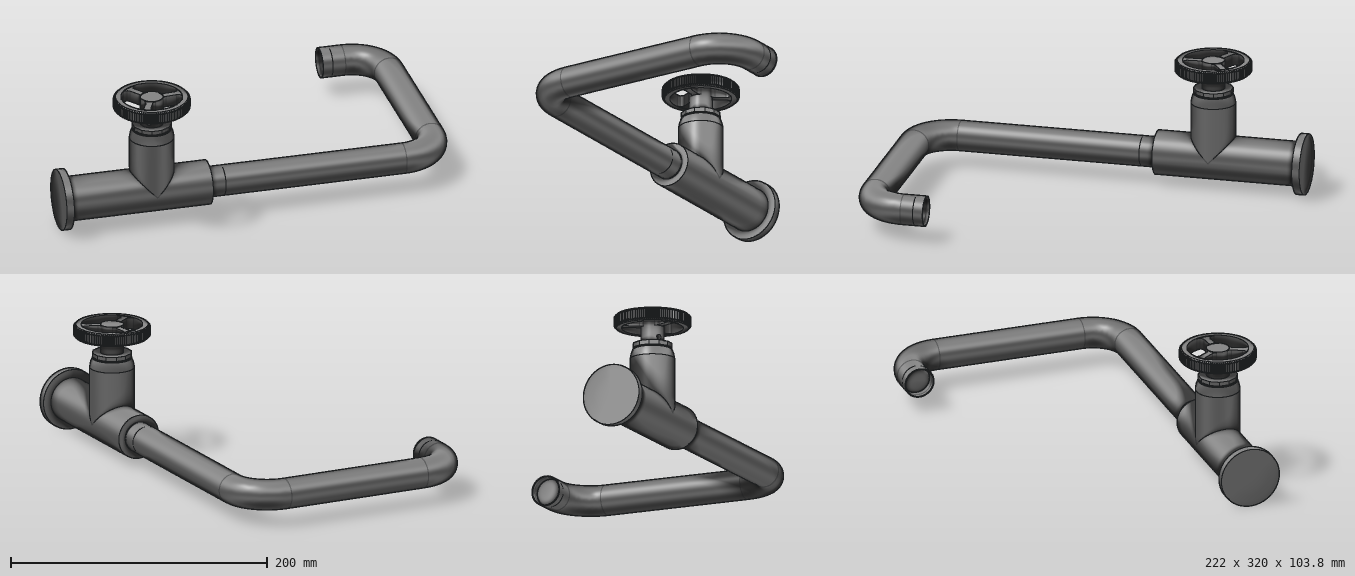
import cadquery as cq
import math


BODY_DIA = 35.0
FLANGE_DIA = 48.0
FLANGE_THICK = 6.0
FLANGE_Y = -75.0
SLEEVE_END_Y = 45.0
BRANCH_TOP_Z = 45.0

TUBE_DIA = 24.0
TUBE_WALL = 0.75
TUBE_BORE = TUBE_DIA - 2 * TUBE_WALL
BEND_RADIUS = 30.0
SPOUT_REACH = 180.0
SPOUT_OUTER_Y = 245.0
SPOUT_AXIS_Y = SPOUT_OUTER_Y - TUBE_DIA / 2
OUTLET_Y = 185.0
OUTLET_DEPTH = 8.0
SPIGOT_LENGTH = 12.0

AERATOR_WALL = 0.5
AERATOR_TAPER_LENGTH = 2.5

DOME_BASE_DIA = 35.0
DOME_TOP_DIA = 30.8
DOME_TOP_Z = 52.5
DOME_BULGE = 0.4
NECK_DIA = 29.0
COLLAR_SIDES = 12
COLLAR_ACROSS_FLATS = 30.0
COLLAR_THICK = 3.5
BONNET_TOP_Z = 57.0

WHEEL_DIA = 60.0
WHEEL_THICK = 10.0
WHEEL_TOP_Z = 79.8
WHEEL_BOTTOM_Z = WHEEL_TOP_Z - WHEEL_THICK
RIM_INNER_DIA = 48.0
RIM_CHAMFER = 1.8
TOOTH_COUNT = 120
TOOTH_DEPTH = 1.2
HUB_DIA = 18.0
SPOKE_COUNT = 3
SPOKE_WIDTH = 5.3
SPOKE_DROP = 0.5
SPOKE_FILLET = 3.5
WHEEL_TURN = 95.0
SCREW_HOLE_DIA = 4.0
SCREW_HOLE_DEPTH = 5.0
SCREW_HOLE_Z = 60.9
SCREW_HOLE_ANGLE = -30.0


def cylinder_along_y(diameter, y_start, y_end, x=0.0):
    """Solid cylinder with its axis parallel to Y."""
    base = cq.Workplane("XZ", origin=(x, y_start, 0))
    return base.circle(diameter / 2).extrude(y_start - y_end)


def disc(diameter, z_start, z_end):
    """Solid cylinder on the valve axis."""
    base = cq.Workplane("XY", origin=(0, 0, z_start))
    return base.circle(diameter / 2).extrude(z_end - z_start)


def make_body():
    sleeve = cylinder_along_y(BODY_DIA, FLANGE_Y, SLEEVE_END_Y)
    flange = cylinder_along_y(FLANGE_DIA, FLANGE_Y, FLANGE_Y + FLANGE_THICK)
    branch = disc(BODY_DIA, 0, BRANCH_TOP_Z)
    spigot = cylinder_along_y(TUBE_BORE, SLEEVE_END_Y, SLEEVE_END_Y + SPIGOT_LENGTH)
    return sleeve.union(flange).union(branch).union(spigot)


def make_spout():
    bend_start_y = SPOUT_AXIS_Y - BEND_RADIUS
    bend_mid = BEND_RADIUS * (1 - math.sqrt(0.5))
    path = (
        cq.Workplane("XY")
        .moveTo(0, SLEEVE_END_Y)
        .lineTo(0, bend_start_y)
        .threePointArc((-bend_mid, SPOUT_AXIS_Y - bend_mid), (-BEND_RADIUS, SPOUT_AXIS_Y))
        .lineTo(BEND_RADIUS - SPOUT_REACH, SPOUT_AXIS_Y)
        .threePointArc(
            (bend_mid - SPOUT_REACH, SPOUT_AXIS_Y - bend_mid),
            (-SPOUT_REACH, bend_start_y),
        )
        .lineTo(-SPOUT_REACH, OUTLET_Y)
    )
    start = cq.Workplane("XZ", origin=(0, SLEEVE_END_Y, 0))
    tube = start.circle(TUBE_DIA / 2).sweep(path)
    socket = cylinder_along_y(TUBE_BORE, SLEEVE_END_Y, SLEEVE_END_Y + SPIGOT_LENGTH)
    outlet = cylinder_along_y(TUBE_BORE, OUTLET_Y, OUTLET_Y + OUTLET_DEPTH, -SPOUT_REACH)
    return tube.cut(socket).cut(outlet)


def make_aerator():
    """Thin cup, open at the outlet, whose mouth tapers to a sharp rim."""
    outer_r = TUBE_BORE / 2
    inner_r = outer_r - AERATOR_WALL
    return (
        cq.Workplane("XY", origin=(-SPOUT_REACH, OUTLET_Y, 0))
        .moveTo(0, OUTLET_DEPTH)
        .lineTo(outer_r, OUTLET_DEPTH)
        .lineTo(outer_r, 0)
        .lineTo(inner_r, AERATOR_TAPER_LENGTH)
        .lineTo(inner_r, OUTLET_DEPTH - AERATOR_WALL)
        .lineTo(0, OUTLET_DEPTH - AERATOR_WALL)
        .close()
        .revolve(360, (0, 0, 0), (0, 1, 0))
    )


def make_bonnet():
    base_r = DOME_BASE_DIA / 2
    top_r = DOME_TOP_DIA / 2
    bulge_point = ((base_r + top_r) / 2 + DOME_BULGE, (BRANCH_TOP_Z + DOME_TOP_Z) / 2)
    dome = (
        cq.Workplane("XZ")
        .moveTo(0, BRANCH_TOP_Z)
        .lineTo(base_r, BRANCH_TOP_Z)
        .threePointArc(bulge_point, (top_r, DOME_TOP_Z))
        .lineTo(0, DOME_TOP_Z)
        .close()
        .revolve(360, (0, 0, 0), (0, 1, 0))
    )
    neck = disc(NECK_DIA, DOME_TOP_Z, BONNET_TOP_Z)
    half_side_angle = 180 / COLLAR_SIDES
    across_corners = COLLAR_ACROSS_FLATS / math.cos(math.radians(half_side_angle))
    collar = (
        cq.Workplane("XY", origin=(0, 0, BONNET_TOP_Z - COLLAR_THICK))
        .transformed(rotate=(0, 0, half_side_angle))
        .polygon(COLLAR_SIDES, across_corners)
        .extrude(COLLAR_THICK)
    )
    return dome.union(neck).union(collar)


def make_rim():
    """Ring with V-shaped teeth all round and chamfered outer edges."""
    outline = []
    for step in range(2 * TOOTH_COUNT):
        angle = math.pi * step / TOOTH_COUNT
        radius = WHEEL_DIA / 2 - TOOTH_DEPTH * (step % 2)
        outline.append((radius * math.cos(angle), radius * math.sin(angle)))
    toothed = (
        cq.Workplane("XY", origin=(0, 0, WHEEL_BOTTOM_Z))
        .polyline(outline)
        .close()
        .extrude(WHEEL_THICK)
    )
    envelope = disc(WHEEL_DIA, WHEEL_BOTTOM_Z, WHEEL_TOP_Z).edges().chamfer(RIM_CHAMFER)
    opening = disc(RIM_INNER_DIA, WHEEL_BOTTOM_Z, WHEEL_TOP_Z)
    return toothed.intersect(envelope).cut(opening)


def make_web():
    """Hub-to-rim disc with rounded windows that leave three spokes."""
    bottom_z = WHEEL_BOTTOM_Z + SPOKE_DROP
    top_z = WHEEL_TOP_Z - SPOKE_DROP
    windows = disc(RIM_INNER_DIA, bottom_z, top_z).cut(disc(HUB_DIA, bottom_z, top_z))
    for index in range(SPOKE_COUNT):
        spoke_strip = (
            cq.Workplane("XY", origin=(0, 0, bottom_z))
            .transformed(rotate=(0, 0, WHEEL_TURN + 360 / SPOKE_COUNT * index))
            .center(WHEEL_DIA / 4, 0)
            .rect(WHEEL_DIA / 2, SPOKE_WIDTH)
            .extrude(top_z - bottom_z)
        )
        windows = windows.cut(spoke_strip)
    windows = windows.edges("|Z").fillet(SPOKE_FILLET)
    return disc(RIM_INNER_DIA, bottom_z, top_z).cut(windows)


def make_wheel():
    hub = disc(HUB_DIA, BONNET_TOP_Z, WHEEL_TOP_Z)
    wheel = make_rim().union(make_web()).union(hub)
    screw_hole = (
        cq.Workplane("YZ", origin=(HUB_DIA / 2 - SCREW_HOLE_DEPTH, 0, SCREW_HOLE_Z))
        .circle(SCREW_HOLE_DIA / 2)
        .extrude(HUB_DIA)
        .rotate((0, 0, 0), (0, 0, 1), SCREW_HOLE_ANGLE)
    )
    return wheel.cut(screw_hole)


body = make_body()
spout = make_spout()
aerator = make_aerator()
bonnet = make_bonnet()
wheel = make_wheel()

result = cq.Compound.makeCompound(
    [body.val(), spout.val(), aerator.val(), bonnet.val(), wheel.val()]
)